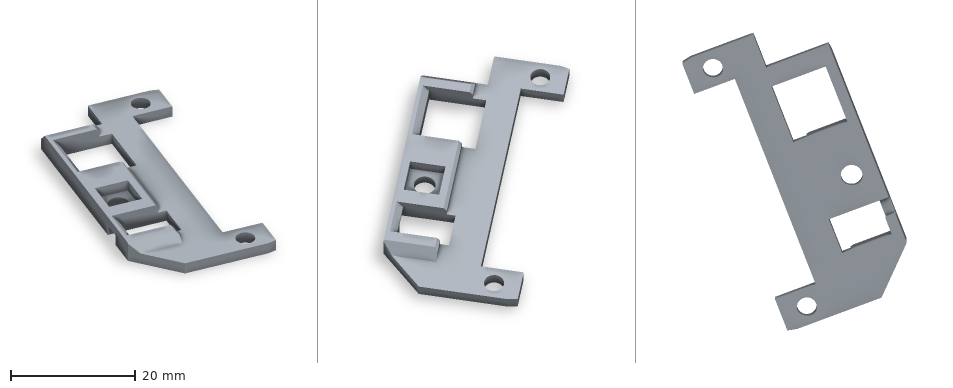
import cadquery as cq

length = 48.0
width = 23.15
height = 3.5
base_height = 1.95
corner_cut = 7.0

left_tab_width = 5.65
right_tab_width = 5.8
tab_root_y = 16.15
tab_corner_x = 0.35
tab_corner_y = 1.55
tab_hole_diameter = 3.2
tab_hole_inset = 2.85
tab_hole_y = 18.8

step_x = 5.8
step_y = 10.75

rail_depth = 8.9
rail_rear_chamfer = 0.55
rail_rise = height - base_height
rail_right_x = 42.6
right_ramp_run = 1.8

window_front_y = 0.65
front_wall_thickness = 1.75
front_wall_slope = front_wall_thickness - window_front_y
left_window_x = 9.0
left_window_width = 10.0
left_window_rear_y = 11.1
right_window_x = 32.85
right_window_width = 6.1
right_window_rear_y = 10.3

recess_x = 27.35
recess_y = 4.25
recess_size = 5.8
recess_depth = 1.9
recess_hole_diameter = 3.5

notch_width = 3.05
notch_height = 1.85


def make_footprint(thickness):
    """Extrude the outline of the whole plate upward from Z = 0."""
    outline = [
        (step_x, 0),
        (length - corner_cut, 0),
        (length, corner_cut),
        (length, width - tab_corner_y),
        (length - tab_corner_x, width),
        (length - right_tab_width, width),
        (length - right_tab_width, tab_root_y),
        (left_tab_width, tab_root_y),
        (left_tab_width, width),
        (tab_corner_x, width),
        (0, width - tab_corner_y),
        (0, step_y),
        (step_x, step_y),
    ]
    return cq.Workplane("XY").polyline(outline).close().extrude(thickness)


def make_rail():
    """Raised rail with ramped ends, a chamfered rear edge and the plate's cut corner."""
    end_profile = [
        (step_x, 0),
        (rail_right_x, 0),
        (rail_right_x, base_height),
        (rail_right_x - right_ramp_run, height),
        (step_x + rail_rise, height),
        (step_x, base_height),
    ]
    side_profile = [
        (0, 0),
        (rail_depth, 0),
        (rail_depth, height - rail_rear_chamfer),
        (rail_depth - rail_rear_chamfer, height),
        (0, height),
    ]
    along_y = cq.Workplane("XZ").polyline(end_profile).close().extrude(-rail_depth)
    along_x = cq.Workplane("YZ").polyline(side_profile).close().extrude(length)
    return along_y.intersect(along_x).intersect(make_footprint(height))


def make_window(left_x, window_width, rear_y):
    """Through window whose front wall slopes at 45 degrees from the top."""
    profile = [
        (front_wall_thickness, 0),
        (rear_y, 0),
        (rear_y, height),
        (window_front_y, height),
        (front_wall_thickness, height - front_wall_slope),
    ]
    window = cq.Workplane("YZ").polyline(profile).close().extrude(window_width)
    return window.translate((left_x, 0, 0))


def make_hole(x, y, diameter):
    """Round cutter through the full height."""
    return cq.Workplane("XY").center(x, y).circle(diameter / 2).extrude(height)


recess = (
    cq.Workplane("XY", origin=(recess_x, recess_y, height))
    .rect(recess_size, recess_size)
    .extrude(-recess_depth)
)

notch = cq.Workplane("XY").box(
    notch_width, front_wall_thickness, notch_height, centered=False
).translate((right_window_x, 0, 0))

result = make_footprint(base_height).union(make_rail())
result = result.cut(make_window(left_window_x, left_window_width, left_window_rear_y))
result = result.cut(make_window(right_window_x, right_window_width, right_window_rear_y))
for hole_x in (tab_hole_inset, length - tab_hole_inset):
    result = result.cut(make_hole(hole_x, tab_hole_y, tab_hole_diameter))
result = result.cut(recess)
result = result.cut(make_hole(recess_x, recess_y, recess_hole_diameter))
result = result.cut(notch)